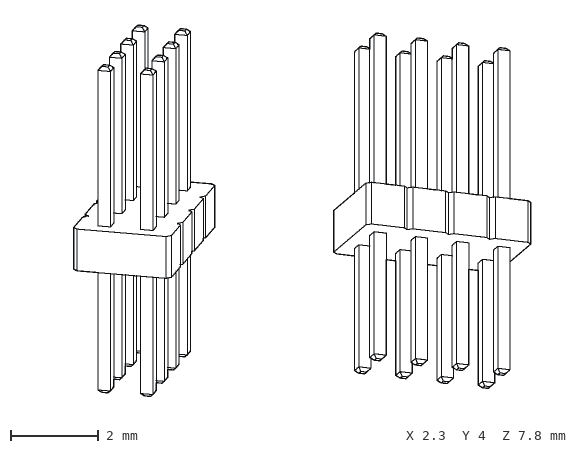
import cadquery as cq

body_width = 2.3
body_length = 4.0
pin_length = 7.8

row_count = 2
pins_per_row = 4
pitch = body_length / pins_per_row
body_height = pitch

pin_side = 0.3
tip_chamfer = 0.08
pin_reach_below = 3.0

bevel = 0.1


def make_body_cell(center_y):
    """One pitch of the insulating body, with its four vertical corners bevelled."""
    half_width = body_width / 2
    half_pitch = pitch / 2
    right_half = [
        (half_width - bevel, -half_pitch),
        (half_width, -half_pitch + bevel),
        (half_width, half_pitch - bevel),
        (half_width - bevel, half_pitch),
    ]
    left_half = [(-x, y) for x, y in reversed(right_half)]
    return (
        cq.Workplane("XY")
        .center(0, center_y)
        .polyline(right_half + left_half)
        .close()
        .extrude(body_height)
    )


def make_pin(x, y):
    """A square pin with chamfered tips at both ends."""
    return (
        cq.Workplane("XY")
        .box(pin_side, pin_side, pin_length, centered=(True, True, False))
        .faces("<Z or >Z")
        .chamfer(tip_chamfer)
        .translate((x, y, -pin_reach_below))
    )


def centered_positions(count):
    """Coordinates of evenly pitched positions, centred on zero."""
    return [(index - (count - 1) / 2) * pitch for index in range(count)]


result = cq.Workplane("XY")
for y in centered_positions(pins_per_row):
    result = result.union(make_body_cell(y))
result = result.clean()

for x in centered_positions(row_count):
    for y in centered_positions(pins_per_row):
        result = result.union(make_pin(x, y))